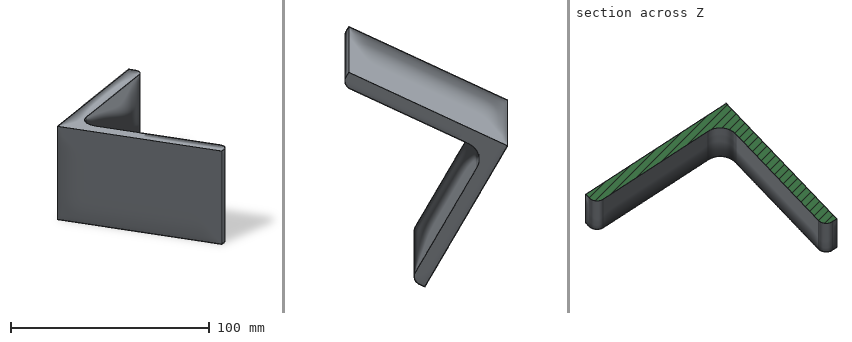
import cadquery as cq

leg_length = 90.0
leg_thickness = 8.0
length = 50.0
root_radius = 10.0
toe_radius = 5.0


def angle_profile():
    """L-shaped outline with its outer heel at the origin."""
    return (
        cq.Workplane("XY")
        .moveTo(0, 0)
        .lineTo(leg_length, 0)
        .lineTo(leg_length, leg_thickness)
        .lineTo(leg_thickness, leg_thickness)
        .lineTo(leg_thickness, leg_length)
        .lineTo(0, leg_length)
        .close()
    )


def vertical_edge_at(x, y):
    """Selector for the vertical edge passing through (x, y)."""
    return cq.selectors.NearestToPointSelector((x, y, length / 2))


def round_root(body):
    """Fillet the inner corner between the legs."""
    return body.edges(vertical_edge_at(leg_thickness, leg_thickness)).fillet(root_radius)


def round_toes(body):
    """Round the inner edge at the tip of each leg."""
    for x, y in ((leg_length, leg_thickness), (leg_thickness, leg_length)):
        body = body.edges(vertical_edge_at(x, y)).fillet(toe_radius)
    return body


angle = angle_profile().extrude(length)
result = round_toes(round_root(angle))